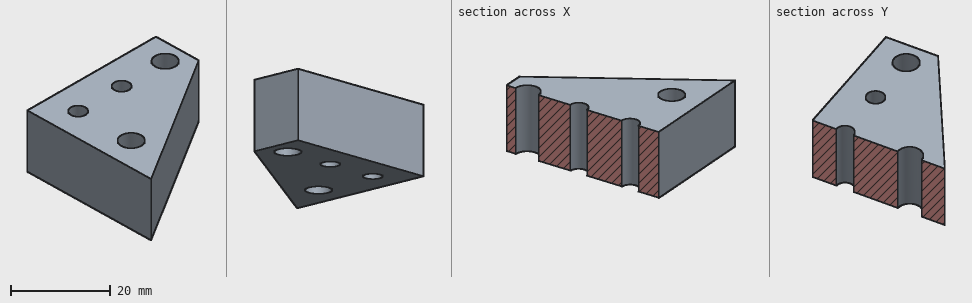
import cadquery as cq

base_width = 35.0
top_width = 12.1
depth = 37.0
thickness = 15.0

small_diameter = 4.0
large_diameter = 5.5
column_x = 7.5
row_y = 7.0
column_pitch = 12.5
row_pitch = 15.0

small_holes = [(column_x, row_y), (column_x, row_y + column_pitch)]
large_holes = [(column_x, row_y + 2 * column_pitch), (column_x + row_pitch, row_y)]


def make_block():
    outline = [(0, 0), (base_width, 0), (top_width, depth), (0, depth)]
    return cq.Workplane("XY").polyline(outline).close().extrude(thickness)


def drill_through(body, centers, diameter):
    return body.faces(">Z").workplane(origin=(0, 0, thickness)).pushPoints(centers).hole(diameter)


result = make_block()
result = drill_through(result, small_holes, small_diameter)
result = drill_through(result, large_holes, large_diameter)